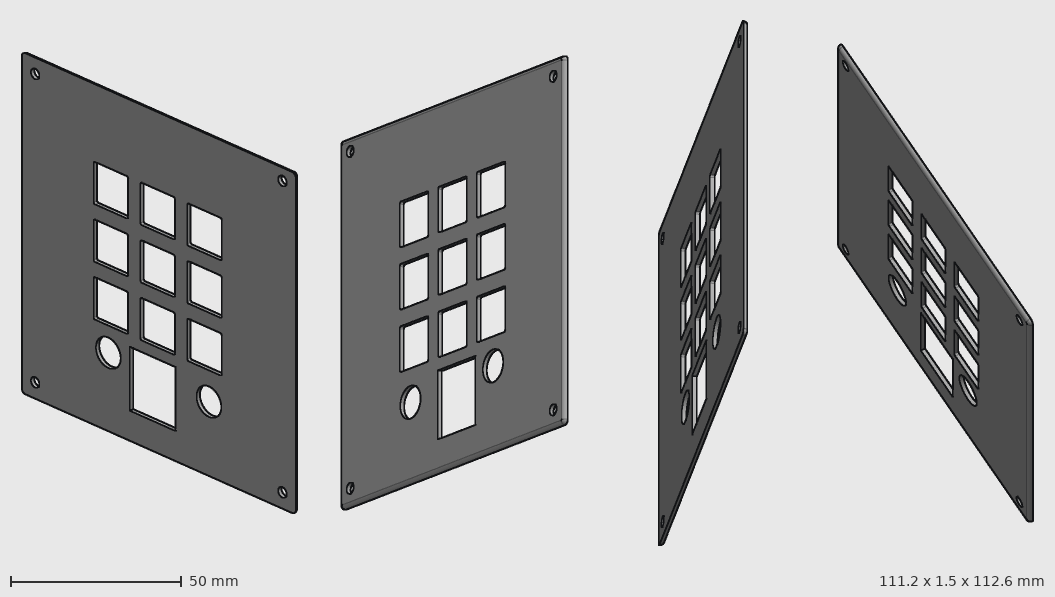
import cadquery as cq

plate_width = 111.2
plate_height = 112.6
plate_thickness = 1.5
corner_radius = 1.5
back_fillet = 1.4

key_size = 14.0
key_corner_radius = 0.6
key_pitch = 19.0
key_columns = 3
key_rows = 3
key_grid_center = (-0.5, 4.6)

window_width = 18.5
window_height = 21.0
window_center = (-2.5, -35.8)

round_diameter = 10.0
round_centers = [(-20.5, -30.4), (20.4, -31.8)]

mount_diameter = 3.4
mount_x = 50.2
mount_z = 50.9
raised_mount_z = 51.9
mount_centers = [
    (-mount_x, -mount_z),
    (mount_x, -mount_z),
    (-mount_x, mount_z),
    (mount_x, raised_mount_z),
]


def front_plane():
    """Sketch plane on the front face: local x is X, local y is Z, normal is -Y."""
    return cq.Workplane("XZ", origin=(0, -plate_thickness / 2, 0))


def make_plate():
    """Plate with rounded corners and a fillet around its back face."""
    plate = front_plane().rect(plate_width, plate_height).extrude(-plate_thickness)
    plate = plate.edges("|Y").fillet(corner_radius)
    return plate.faces(">Y").fillet(back_fillet)


def make_keys():
    """Cutters for the grid of key openings."""
    keys = (
        front_plane()
        .center(*key_grid_center)
        .rarray(key_pitch, key_pitch, key_columns, key_rows)
        .rect(key_size, key_size)
        .extrude(-plate_thickness)
    )
    return keys.edges("|Y").fillet(key_corner_radius)


def make_window():
    """Cutter for the rectangular window."""
    sketch = front_plane().center(*window_center).rect(window_width, window_height)
    return sketch.extrude(-plate_thickness)


def make_round_holes(centers, diameter):
    """Cutters for through holes at the given (X, Z) centers."""
    return front_plane().pushPoints(centers).circle(diameter / 2).extrude(-plate_thickness)


result = (
    make_plate()
    .cut(make_keys())
    .cut(make_window())
    .cut(make_round_holes(round_centers, round_diameter))
    .cut(make_round_holes(mount_centers, mount_diameter))
)